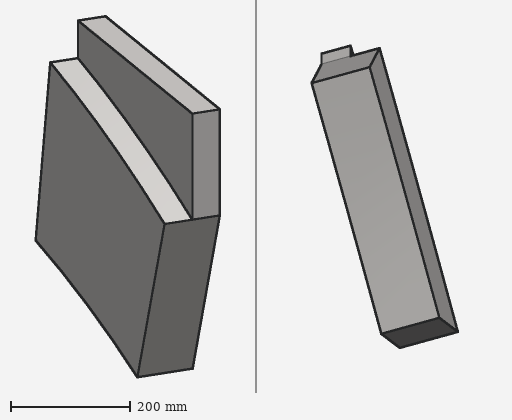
import cadquery as cq

width = 539.5
height = 505.5
thickness = 101.5
tongue_thickness = thickness / 2

upper_left = (61.0, 438.0)
upper_right = (width, 315.0)
lower_left = (0, 97.0)
lower_right = (426.0, 0)

upper_rise = 11.0
lower_rise = 9.0


def arc_middle(start, end, rise):
    """Point a given height above the middle of the chord."""
    return ((start[0] + end[0]) / 2, (start[1] + end[1]) / 2 + rise)


upper_middle = arc_middle(upper_left, upper_right, upper_rise)
lower_middle = arc_middle(lower_left, lower_right, lower_rise)

segment = (
    cq.Workplane("XZ")
    .moveTo(*lower_left)
    .lineTo(*upper_left)
    .threePointArc(upper_middle, upper_right)
    .lineTo(*lower_right)
    .threePointArc(lower_middle, lower_left)
    .close()
    .extrude(-thickness)
)

tongue = (
    cq.Workplane("XZ", origin=(0, thickness, 0))
    .moveTo(*upper_left)
    .lineTo(upper_left[0], height)
    .lineTo(width, height)
    .lineTo(*upper_right)
    .threePointArc(upper_middle, upper_left)
    .close()
    .extrude(tongue_thickness)
)

result = segment.union(tongue)